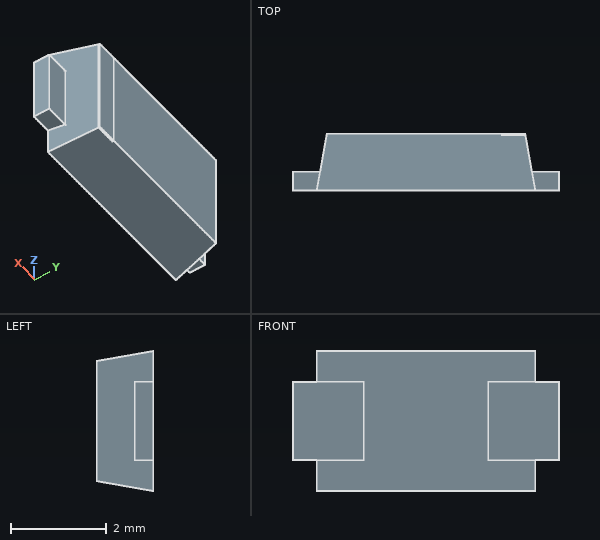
import cadquery as cq
import math

overall_length = 5.6
housing_length = 4.6
housing_width = 2.95
housing_thickness = 1.2
draft_angle = 10.0

terminal_length = 1.495
terminal_width = 1.645
terminal_thickness = 0.4

band_length = 0.5
band_depth = 0.035

marking_face_inset = housing_thickness * math.tan(math.radians(draft_angle))
marking_face_end = housing_length / 2 - marking_face_inset
band_start = marking_face_end - band_length


def make_envelope():
    """Drafted block tapering from the mounting face towards +Y."""
    return (
        cq.Workplane("XZ")
        .rect(housing_length, housing_width)
        .workplane(offset=-housing_thickness)
        .rect(housing_length - 2 * marking_face_inset, housing_width - 2 * marking_face_inset)
        .loft(ruled=True)
    )


def make_terminal(side):
    """Flat terminal at the -X end (side = -1) or the +X end (side = 1)."""
    center_x = side * (overall_length - terminal_length) / 2
    return cq.Workplane("XY").box(terminal_length, terminal_thickness, terminal_width).translate(
        (center_x, terminal_thickness / 2, 0)
    )


def make_band(envelope):
    """Thin band across the +X end of the marking face, trimmed to the drafted walls."""
    blank = (
        cq.Workplane("XY")
        .box(housing_length, band_depth, housing_width, centered=(False, False, True))
        .translate((band_start, housing_thickness - band_depth, 0))
    )
    return envelope.intersect(blank)


def make_housing(envelope, inserts):
    """Envelope with a matching recess for each inserted body."""
    housing = envelope
    for insert in inserts:
        housing = housing.cut(insert)
    return housing


envelope = make_envelope()
terminals = [make_terminal(side) for side in (-1, 1)]
band = make_band(envelope)
housing = make_housing(envelope, [*terminals, band])

result = cq.Compound.makeCompound(
    [housing.solids().val(), band.solids().val(), *[terminal.val() for terminal in terminals]]
)